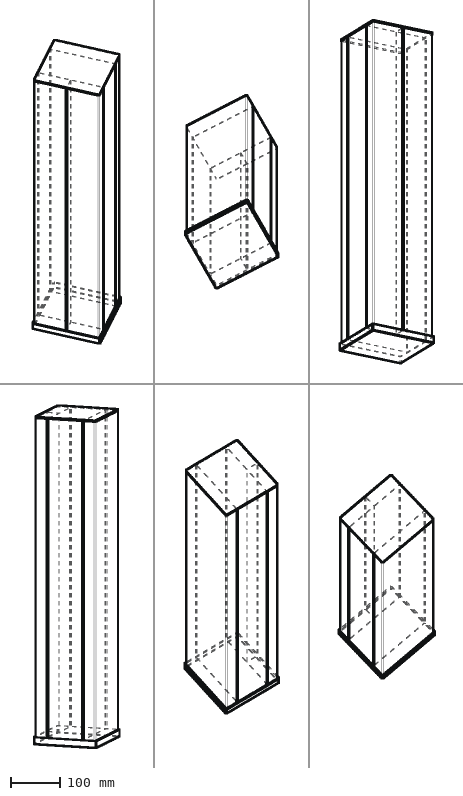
import cadquery as cq

TOTAL_HEIGHT = 674.5
BASE_WIDTH = 145.0
BASE_DEPTH = 135.0

BASE_HEIGHT = 15.0
BASE_CORNER_CHAMFER = 2.0
BASE_RIM_CHAMFER = 1.5

CAP_THICKNESS = 3.05
CAP_INSET = 2.35
CAP_CORNER_RADIUS = 3.0

COLUMN_INSET = 2.5
COLUMN_CORNER_RADIUS = 3.05
JOINT_SPACING = 75.5
JOINT_GAP = 0.8
GROOVE_REACH = 2.15

BASE_BOTTOM = -TOTAL_HEIGHT / 2
COLUMN_BOTTOM = BASE_BOTTOM + BASE_HEIGHT
CAP_BOTTOM = TOTAL_HEIGHT / 2 - CAP_THICKNESS
COLUMN_HEIGHT = CAP_BOTTOM - COLUMN_BOTTOM
COLUMN_WIDTH = BASE_WIDTH - 2 * COLUMN_INSET
COLUMN_DEPTH = BASE_DEPTH - 2 * COLUMN_INSET
CAP_WIDTH = BASE_WIDTH - 2 * CAP_INSET
CAP_DEPTH = BASE_DEPTH - 2 * CAP_INSET
HALF_WIDTH = COLUMN_WIDTH / 2
HALF_DEPTH = COLUMN_DEPTH / 2
JOINT_Y = JOINT_SPACING / 2
HALF_GAP = JOINT_GAP / 2


def upright_block(width, depth, height, bottom):
    """Plain block centred on the Z axis, standing on the given level."""
    return cq.Workplane("XY", origin=(0, 0, bottom)).box(
        width, depth, height, centered=(True, True, False)
    )


def make_base():
    """Plinth under the column, chamfered at its four corners and around its lower rim."""
    block = upright_block(BASE_WIDTH, BASE_DEPTH, BASE_HEIGHT, BASE_BOTTOM)
    block = block.edges("|Z").chamfer(BASE_CORNER_CHAMFER)
    return block.faces("<Z").edges().chamfer(BASE_RIM_CHAMFER)


def make_cap():
    """Thin plate on top of the column."""
    plate = upright_block(CAP_WIDTH, CAP_DEPTH, CAP_THICKNESS, CAP_BOTTOM)
    return plate.edges("|Z").fillet(CAP_CORNER_RADIUS)


def groove_cutter(x, y):
    """Square bar along Z, turned 45 degrees, that cuts a V groove at a point on the column's outline."""
    corner_count = 4
    diagonal = 2 * GROOVE_REACH
    return (
        cq.Workplane("XY", origin=(x, y, COLUMN_BOTTOM))
        .polygon(corner_count, diagonal)
        .extrude(COLUMN_HEIGHT)
    )


def make_grooved_column():
    """Outer form shared by all boards: rounded corners and V grooves over the joints."""
    column = upright_block(COLUMN_WIDTH, COLUMN_DEPTH, COLUMN_HEIGHT, COLUMN_BOTTOM)
    column = column.edges("|Z").fillet(COLUMN_CORNER_RADIUS)
    column = column.cut(groove_cutter(0, -HALF_DEPTH))
    for side in (-HALF_WIDTH, HALF_WIDTH):
        for joint in (-JOINT_Y, JOINT_Y):
            column = column.cut(groove_cutter(side, joint))
    return column


def make_board(column, x_min, x_max, y_min, y_max):
    """The part of the column inside the given plan rectangle."""
    region = cq.Workplane("XY", origin=(x_min, y_min, COLUMN_BOTTOM)).box(
        x_max - x_min, y_max - y_min, COLUMN_HEIGHT, centered=False
    )
    return column.intersect(region).solids()


base = make_base()
cap = make_cap()

grooved_column = make_grooved_column()
front_boards = [
    make_board(grooved_column, x_min, x_max, -HALF_DEPTH, -JOINT_Y - HALF_GAP)
    for x_min, x_max in ((-HALF_WIDTH, -HALF_GAP), (HALF_GAP, HALF_WIDTH))
]
core_board = make_board(
    grooved_column, -HALF_WIDTH, HALF_WIDTH, -JOINT_Y + HALF_GAP, JOINT_Y - HALF_GAP
)
back_board = make_board(grooved_column, -HALF_WIDTH, HALF_WIDTH, JOINT_Y + HALF_GAP, HALF_DEPTH)

result = cq.Compound.makeCompound(
    [
        base.solids().val(),
        cap.solids().val(),
        *[board.val() for board in front_boards],
        core_board.val(),
        back_board.val(),
    ]
)